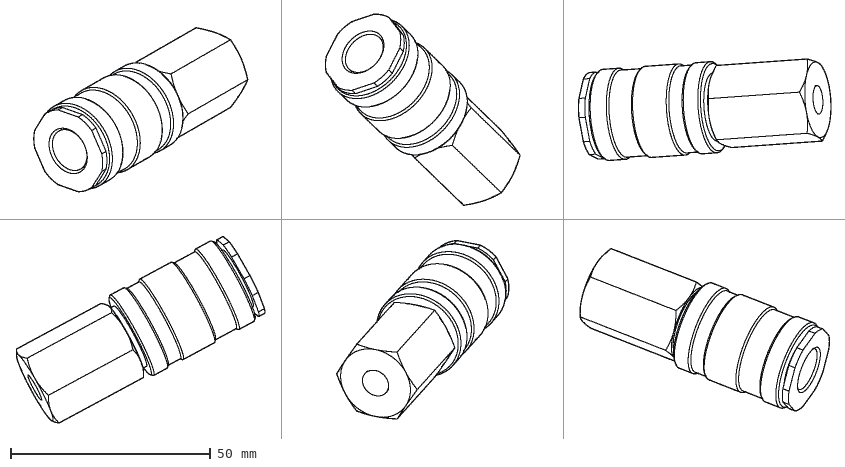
import cadquery as cq
import math

length = 60.0

band_diameter = 23.0
barrel_diameter = 21.95
band_chamfer = (band_diameter - barrel_diameter) / 2
sleeve_start = 2.8
sleeve_end = 32.65
front_band_end = 8.15
middle_band_start = 14.15
middle_band_end = 24.2
rear_band_start = 27.7

collar_thickness = 1.75
collar_diameter = barrel_diameter
collar_across_flats = 21.0
front_neck_diameter = 16.15
rear_neck_diameter = 17.2

hex_start = 34.0
hex_across_flats = 19.0
hex_corner_angle = 30.0

socket_diameter = 11.0
socket_depth = 24.0
socket_chamfer = 0.6
bore_diameter = 7.15


def cylinder(diameter, start, end):
    """Cylinder on the Y axis between two Y positions."""
    return cq.Workplane("XZ", origin=(0, start, 0)).circle(diameter / 2).extrude(start - end)


def hexagon(across_flats, start, end):
    """Hexagonal bar on the Y axis with corners on +X and -X."""
    across_corners = across_flats / math.cos(math.radians(30))
    return cq.Workplane("XZ", origin=(0, start, 0)).polygon(6, across_corners).extrude(start - end)


def band(start, end):
    """Raised sleeve band with both rims chamfered."""
    return cylinder(band_diameter, start, end).edges("%CIRCLE").chamfer(band_chamfer)


def sleeve():
    body = cylinder(barrel_diameter, sleeve_start, sleeve_end)
    band_spans = [
        (sleeve_start, front_band_end),
        (middle_band_start, middle_band_end),
        (rear_band_start, sleeve_end),
    ]
    for start, end in band_spans:
        body = body.union(band(start, end))
    return body


def collar():
    disc = cylinder(collar_diameter, 0, collar_thickness)
    return disc.intersect(hexagon(collar_across_flats, 0, collar_thickness))


def rear_hexagon():
    flat_radius = hex_across_flats / 2
    corner_radius = flat_radius / math.cos(math.radians(30))
    cone_length = (corner_radius - flat_radius) * math.tan(math.radians(hex_corner_angle))
    turned_blank = (
        cq.Workplane("XY")
        .moveTo(0, hex_start)
        .lineTo(flat_radius, hex_start)
        .lineTo(corner_radius, hex_start + cone_length)
        .lineTo(corner_radius, length - cone_length)
        .lineTo(flat_radius, length)
        .lineTo(0, length)
        .close()
        .revolve(360, (0, 0), (0, 1))
    )
    return hexagon(hex_across_flats, hex_start, length).intersect(turned_blank)


def stepped_bore():
    socket_radius = socket_diameter / 2
    bore_radius = bore_diameter / 2
    return (
        cq.Workplane("XY")
        .lineTo(socket_radius + socket_chamfer, 0)
        .lineTo(socket_radius, socket_chamfer)
        .lineTo(socket_radius, socket_depth)
        .lineTo(bore_radius, socket_depth)
        .lineTo(bore_radius, length)
        .lineTo(0, length)
        .close()
        .revolve(360, (0, 0), (0, 1))
    )


front_neck = cylinder(front_neck_diameter, collar_thickness, sleeve_start)
rear_neck = cylinder(rear_neck_diameter, sleeve_end, hex_start)

result = (
    collar()
    .union(front_neck)
    .union(sleeve())
    .union(rear_neck)
    .union(rear_hexagon())
    .cut(stepped_bore())
)